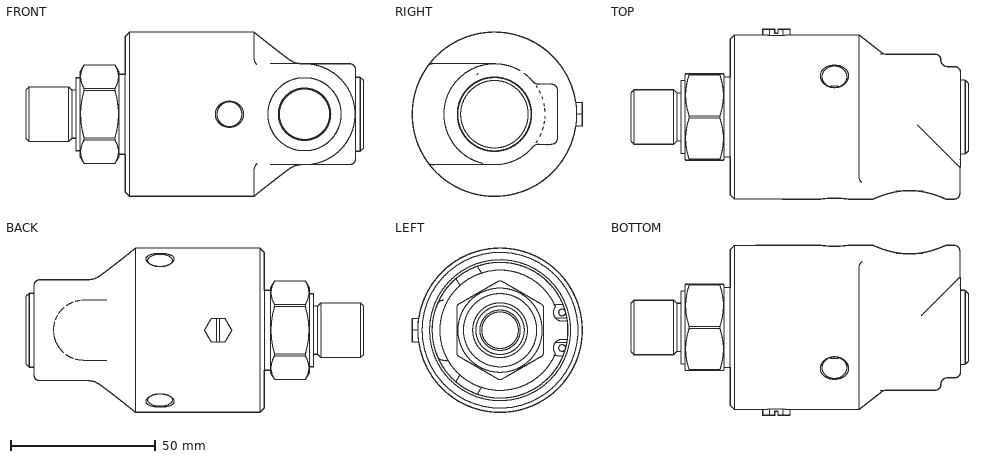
import cadquery as cq
import math

THREAD_DIA = 19.0
THREAD_END = 15.9
THREAD_CHAMFER = 1.1
NECK_DIA = 16.8
NECK_END = 17.3
COLLAR_DIA = 25.4
BORE_DIA = 12.7
BORE_CHAMFER = 0.65
BORE_DEPTH = 84.0
NUT_START = 18.7
NUT_END = 32.3
NUT_FLATS = 30.0
NUT_FACE_DIA = 29.2
NUT_CORNER_DIA = 34.2
NUT_CHAMFER_ANGLE = 30.0
SHAFT_DIA = 27.8

BODY_START = 34.4
BODY_DIA = 57.0
BODY_CHAMFER = 1.5
CONE_START = 79.0
CONE_ANGLE = 38.0
REAR_DIA = 35.0
REAR_END = 114.2
REAR_ROUND = 2.0
CONE_FILLET = 6.5
CORE_DIA = 29.6

RECESS_DIA = 47.07
RECESS_CHAMFER = 0.9
RECESS_DEPTH = 4.0
RING_THICKNESS = 1.75
RING_INNER_DIA = 41.7
LUG_RADIUS = 3.0
LUG_HOLE_DIA = 2.36
LUG_OFFSET_Z = 6.15
LUG_CENTRE_RADIUS = (RECESS_DIA - LUG_HOLE_DIA) / 2

CAP_DIA = 25.8
CAP_STEP_X = 115.7
CAP_TIP_DIA = 25.4
CAP_END = 116.97
CAP_CHAMFER = 1.0

PORT_X = 96.5
PORT_DIA = 17.48
PORT_MOUTH_DIA = 18.2
SPOTFACE_DIA = 25.4
SPOTFACE_Y = -25.6
PORT_BOSS_ROUND = 2.0
BACK_BOSS_X = 97.0
BACK_BOSS_RADIUS = 10.4
BACK_BOSS_Y = 21.8
BACK_BOSS_ROUND = 2.0
BACK_BOSS_FILLET = 2.2

DRAIN_X = 70.5
DRAIN_DIA = 8.6
DRAIN_CHAMFER = 0.6
DRAIN_COUNT = 3

SCREW_X = 50.4
SCREW_FLATS = 8.2
SCREW_TOP_Y = 30.45
SCREW_SLOT_WIDTH = 1.1
SCREW_SLOT_DEPTH = 1.4

EMBED = 2.0
EDGE_MARGIN = 0.5

HEX_CORNER_RATIO = 2 / math.sqrt(3)
BODY_RADIUS = BODY_DIA / 2
REAR_RADIUS = REAR_DIA / 2
CONE_END = CONE_START + (BODY_RADIUS - REAR_RADIUS) / math.tan(math.radians(CONE_ANGLE))


def rod(diameter, start, end):
    """Cylinder on the X axis."""
    return cq.Workplane("YZ", origin=(start, 0, 0)).circle(diameter / 2).extrude(end - start)


def revolve_x(points):
    """Solid of revolution about the X axis from (x, radius) points."""
    return cq.Workplane("XY").polyline(points).close().revolve(360, (0, 0, 0), (1, 0, 0))


def tongue(centre_x, radius, start_x, side, length):
    """Round-ended block reaching from the X axis along +Y or -Y (side = 1 or -1)."""
    return (
        cq.Workplane("XZ")
        .moveTo(start_x, -radius)
        .lineTo(centre_x, -radius)
        .threePointArc((centre_x + radius, 0), (centre_x, radius))
        .lineTo(start_x, radius)
        .close()
        .extrude(-side * length)
    )


def edges_in(corner, opposite):
    """Selector for edges whose centres lie in a box."""
    return cq.selectors.BoxSelector(corner, opposite)


def housing():
    """Barrel, cone and rear cylinder with the two bosses blended in."""
    core = revolve_x([
        (BODY_START, 0),
        (BODY_START, BODY_RADIUS - BODY_CHAMFER),
        (BODY_START + BODY_CHAMFER, BODY_RADIUS),
        (CONE_START, BODY_RADIUS),
        (CONE_END, REAR_RADIUS),
        (REAR_END, REAR_RADIUS),
        (REAR_END, 0),
    ])
    boss_limit = rod(BODY_DIA, BODY_START + BODY_CHAMFER, REAR_END)
    port_boss = tongue(PORT_X, REAR_RADIUS, CONE_START - EMBED, -1, BODY_RADIUS).intersect(boss_limit)
    body = core.union(port_boss)

    boss_edge_y = -math.sqrt(BODY_RADIUS**2 - REAR_RADIUS**2)
    rim = edges_in(
        (CONE_START, -BODY_RADIUS, -REAR_RADIUS - EDGE_MARGIN),
        (REAR_END, boss_edge_y + EDGE_MARGIN, REAR_RADIUS + EDGE_MARGIN),
    )
    body = body.edges(rim).fillet(PORT_BOSS_ROUND)

    waist = edges_in(
        (CONE_START + EDGE_MARGIN, boss_edge_y + PORT_BOSS_ROUND, -BODY_RADIUS),
        (CONE_END + EDGE_MARGIN, REAR_RADIUS, BODY_RADIUS),
    )
    body = body.edges(waist).fillet(CONE_FILLET)

    back_boss = tongue(BACK_BOSS_X, BACK_BOSS_RADIUS, CONE_START, 1, BACK_BOSS_Y)
    back_boss = back_boss.edges(">Y and (not <X)").fillet(BACK_BOSS_ROUND)
    seam_end = edges_in(
        (BACK_BOSS_X + EDGE_MARGIN, REAR_RADIUS - 2 * BACK_BOSS_FILLET, -BACK_BOSS_RADIUS),
        (BACK_BOSS_X + BACK_BOSS_RADIUS, REAR_RADIUS, BACK_BOSS_RADIUS),
    )
    body = body.union(back_boss).edges(seam_end).fillet(BACK_BOSS_FILLET)
    return body.faces(">X").edges().fillet(REAR_ROUND)


def rear_cap():
    """Stepped round cap closing the rear end."""
    radius = CAP_DIA / 2
    tip_radius = CAP_TIP_DIA / 2
    return revolve_x([
        (REAR_END - EMBED, 0),
        (REAR_END - EMBED, radius),
        (CAP_STEP_X, radius),
        (CAP_STEP_X, tip_radius),
        (CAP_END - CAP_CHAMFER, tip_radius),
        (CAP_END, tip_radius - CAP_CHAMFER),
        (CAP_END, 0),
    ])


def front_recess():
    """Chamfered round recess in the front face of the housing."""
    radius = RECESS_DIA / 2
    return revolve_x([
        (BODY_START, 0),
        (BODY_START, radius + RECESS_CHAMFER),
        (BODY_START + RECESS_CHAMFER, radius),
        (BODY_START + RECESS_DEPTH, radius),
        (BODY_START + RECESS_DEPTH, 0),
    ])


def retaining_ring():
    """Internal ring on the recess floor, open towards -Y between two drilled lugs."""
    start = BODY_START + RECESS_DEPTH - RING_THICKNESS
    end = BODY_START + RECESS_DEPTH
    lug_y = -math.sqrt(LUG_CENTRE_RADIUS**2 - LUG_OFFSET_Z**2)
    recess_disc = rod(RECESS_DIA, start, end)
    ring = recess_disc.cut(rod(RING_INNER_DIA, start, end))
    gap = cq.Workplane("XY").box(RING_THICKNESS, RECESS_DIA, 2 * LUG_OFFSET_Z)
    ring = ring.cut(gap.translate(((start + end) / 2, -RECESS_DIA / 2, 0)))
    for side in (-1, 1):
        centre = (start, lug_y, side * LUG_OFFSET_Z)
        plane = cq.Workplane("YZ", origin=centre)
        lug = plane.circle(LUG_RADIUS).extrude(RING_THICKNESS)
        lug_root = plane.center(-LUG_RADIUS, 0).rect(2 * LUG_RADIUS, 2 * LUG_RADIUS).extrude(RING_THICKNESS)
        hole = plane.circle(LUG_HOLE_DIA / 2).extrude(RING_THICKNESS)
        ring = ring.union(lug.union(lug_root).intersect(recess_disc)).cut(hole)
    return ring


def shaft():
    """Threaded end, relief neck, collar and shaft down to the recess floor."""
    thread_radius = THREAD_DIA / 2
    neck_radius = NECK_DIA / 2
    collar_radius = COLLAR_DIA / 2
    shaft_radius = SHAFT_DIA / 2
    shaft_end = BODY_START + RECESS_DEPTH + EMBED
    return revolve_x([
        (0, 0),
        (0, thread_radius - THREAD_CHAMFER),
        (THREAD_CHAMFER, thread_radius),
        (THREAD_END - (thread_radius - neck_radius), thread_radius),
        (THREAD_END, neck_radius),
        (NECK_END, neck_radius),
        (NECK_END, collar_radius),
        (NUT_START, collar_radius),
        (NUT_START, shaft_radius),
        (shaft_end, shaft_radius),
        (shaft_end, 0),
    ])


def nut():
    """Hexagon with corners on the Z axis, chamfered on both faces."""
    corner_dia = NUT_FLATS * HEX_CORNER_RATIO
    hexagon = (
        cq.Workplane("YZ", origin=(NUT_START, 0, 0))
        .transformed(rotate=(0, 0, 90))
        .polygon(6, corner_dia)
        .extrude(NUT_END - NUT_START)
    )
    face_radius = NUT_FACE_DIA / 2
    corner_radius = NUT_CORNER_DIA / 2
    chamfer_length = (corner_radius - face_radius) * math.tan(math.radians(NUT_CHAMFER_ANGLE))
    envelope = revolve_x([
        (NUT_START, 0),
        (NUT_START, face_radius),
        (NUT_START + chamfer_length, corner_radius),
        (NUT_END - chamfer_length, corner_radius),
        (NUT_END, face_radius),
        (NUT_END, 0),
    ])
    return hexagon.intersect(envelope)


def shaft_bore():
    """Blind axial bore with a chamfered mouth."""
    radius = BORE_DIA / 2
    return revolve_x([
        (0, 0),
        (0, radius + BORE_CHAMFER),
        (BORE_CHAMFER, radius),
        (BORE_DEPTH, radius),
        (BORE_DEPTH, 0),
    ])


def side_port():
    """Spot-faced tapered port from -Y, reaching in to the solid core cylinder."""
    spotface = (
        cq.Workplane("XZ", origin=(PORT_X, SPOTFACE_Y, 0))
        .circle(SPOTFACE_DIA / 2)
        .extrude(BODY_DIA)
    )
    bore = (
        cq.Workplane("XY", origin=(PORT_X, 0, 0))
        .polyline([
            (0, 0),
            (PORT_DIA / 2, 0),
            (PORT_DIA / 2, -CORE_DIA / 2),
            (PORT_MOUTH_DIA / 2, SPOTFACE_Y),
            (0, SPOTFACE_Y),
        ])
        .close()
        .revolve(360, (0, 0, 0), (0, 1, 0))
    )
    return spotface.union(bore.cut(rod(CORE_DIA, CONE_START, REAR_END)))


def drain_holes():
    """Radial holes spaced evenly around the barrel, the first one along -Y."""
    radius = DRAIN_DIA / 2
    chamfer_start = BODY_RADIUS - DRAIN_CHAMFER
    outside = BODY_RADIUS + EMBED
    hole = (
        cq.Workplane("XY", origin=(DRAIN_X, 0, 0))
        .polyline([
            (0, 0),
            (radius, 0),
            (radius, -chamfer_start),
            (radius + DRAIN_CHAMFER + EMBED, -outside),
            (0, -outside),
        ])
        .close()
        .revolve(360, (0, 0, 0), (0, 1, 0))
        .cut(rod(CORE_DIA, BODY_START, CONE_START))
    )
    holes = cq.Workplane("XY")
    for index in range(DRAIN_COUNT):
        holes = holes.add(hole.rotate((0, 0, 0), (1, 0, 0), index * 360 / DRAIN_COUNT))
    return holes.combine()


def screw_head():
    """Hexagon head standing out of the barrel along +Y, slotted along Z."""
    corner_dia = SCREW_FLATS * HEX_CORNER_RATIO
    head_start = BODY_RADIUS - EMBED
    head = (
        cq.Workplane("XZ", origin=(SCREW_X, head_start, 0))
        .polygon(6, corner_dia)
        .extrude(head_start - SCREW_TOP_Y)
    )
    slot = cq.Workplane("XY").box(SCREW_SLOT_WIDTH, 2 * SCREW_SLOT_DEPTH, corner_dia)
    return head.cut(slot.translate((SCREW_X, SCREW_TOP_Y, 0)))


body = housing().union(rear_cap()).cut(front_recess())
body = body.union(retaining_ring()).union(shaft()).union(nut()).union(screw_head())
result = body.cut(shaft_bore()).cut(side_port()).cut(drain_holes())